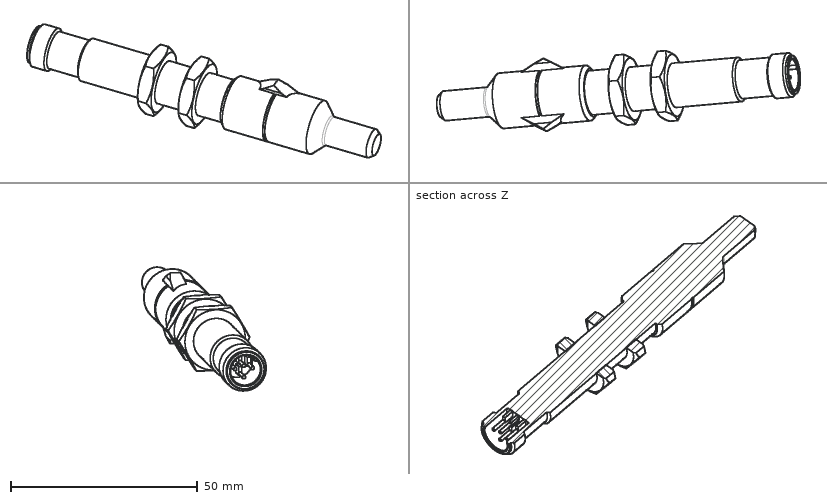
import cadquery as cq
import math

length = 100.5

barrel_radius = 12.0 / 2
neck_radius = 10.5 / 2
tip_radius = 10.2 / 2
edge_chamfer_length = 0.5
tip_length = 0.7
collar_end = 5.4
neck_end = 15.5

sleeve_start = 57.5
sleeve_end = 83.1
sleeve_radius = 15.0 / 2
sleeve_chamfer = 1.0
groove_center = 70.7
groove_width = 0.6
groove_depth = 0.2

tail_radius = 8.0 / 2
tail_fillet = 0.8
tail_chamfer_length = 1.3
tail_end_radius = 3.0

cam_center = 70.0
cam_peak = 19.6 / 2
cam_slope = math.radians(30)
cam_foot = 6.0
cam_width = 4.0
cam_shoulder = 8.3
cam_ridge_inset = 0.6

socket_radius = 8.2 / 2
socket_depth = 9.0
socket_chamfer = 0.3
key_radius = 0.6
key_angle = math.radians(135)
pin_front = 1.9
pin_diameter = 0.9
pin_foot_height = 2.4
pin_foot_front = 6.0
pin_places = [(0, 1.6), (0, -1.6), (2.4, 0.8), (-2.4, 0.8)]

nut_across_flats = 17.0
nut_thickness = 4.0
nut_starts = [34.0, 45.9]
nut_face_radius = 16.7 / 2
nut_chamfer_slope = math.radians(30)


def turned_body():
    cone_length = sleeve_radius - tail_radius
    groove_start = groove_center - groove_width / 2
    groove_end = groove_center + groove_width / 2
    profile = [
        (0, 0),
        (0, tip_radius),
        (neck_radius - tip_radius, neck_radius),
        (tip_length, neck_radius),
        (tip_length + edge_chamfer_length, barrel_radius),
        (collar_end, barrel_radius),
        (collar_end + edge_chamfer_length, neck_radius),
        (neck_end - edge_chamfer_length, neck_radius),
        (neck_end, barrel_radius),
        (sleeve_start, barrel_radius),
        (sleeve_start, sleeve_radius - sleeve_chamfer),
        (sleeve_start + sleeve_chamfer, sleeve_radius),
        (groove_start, sleeve_radius),
        (groove_start, sleeve_radius - groove_depth),
        (groove_end, sleeve_radius - groove_depth),
        (groove_end, sleeve_radius),
        (sleeve_end, sleeve_radius),
        (sleeve_end + cone_length, tail_radius),
        (length - tail_chamfer_length, tail_radius),
        (length, tail_end_radius),
        (length, 0),
    ]
    body = cq.Workplane("XY").polyline(profile).close().revolve(360, (0, 0), (1, 0))
    cone_foot = cq.selectors.NearestToPointSelector((sleeve_end + cone_length, 0, 0))
    return body.edges("%CIRCLE").edges(cone_foot).fillet(tail_fillet)


def cam():
    """Roof-shaped cam on +Z whose two side walls lean in above the shoulder."""
    half_length = (cam_peak - cam_foot) / math.tan(cam_slope)
    roof = (
        cq.Workplane("XZ")
        .polyline([
            (cam_center - half_length, cam_foot),
            (cam_center, cam_peak),
            (cam_center + half_length, cam_foot),
        ])
        .close()
        .extrude(-cam_width)
    )
    side_walls = (
        cq.Workplane("YZ", origin=(cam_center - half_length, 0, 0))
        .polyline([
            (0, cam_foot),
            (0, cam_shoulder),
            (cam_ridge_inset, cam_peak),
            (cam_width - cam_ridge_inset, cam_peak),
            (cam_width, cam_shoulder),
            (cam_width, cam_foot),
        ])
        .close()
        .extrude(2 * half_length)
    )
    return roof.intersect(side_walls)


def socket():
    """Round socket space with a chamfered mouth and a key rib left standing on its wall."""
    profile = [
        (0, 0),
        (0, socket_radius + socket_chamfer),
        (socket_chamfer, socket_radius),
        (socket_depth, socket_radius),
        (socket_depth, 0),
    ]
    bore = cq.Workplane("XY").polyline(profile).close().revolve(360, (0, 0), (1, 0))
    key_y = socket_radius * math.cos(key_angle)
    key_z = socket_radius * math.sin(key_angle)
    key = (
        cq.Workplane("YZ", origin=(socket_chamfer, key_y, key_z))
        .circle(key_radius)
        .extrude(socket_depth - socket_chamfer)
    )
    return bore.cut(key)


def make_housing():
    top_cam = cam()
    bottom_cam = top_cam.mirror("XY")
    return turned_body().union(top_cam).union(bottom_cam).cut(socket())


def make_nut(start):
    """Hexagon nut with corners on +Y and -Y, both faces chamfered."""
    corner_radius = nut_across_flats / math.sqrt(3)
    chamfer_length = (corner_radius - nut_face_radius) * math.tan(nut_chamfer_slope)
    hexagon = (
        cq.Workplane("YZ", origin=(start, 0, 0))
        .polygon(6, 2 * corner_radius)
        .circle(barrel_radius)
        .extrude(nut_thickness)
    )
    end = start + nut_thickness
    envelope = (
        cq.Workplane("XY")
        .polyline([
            (start, 0),
            (start, nut_face_radius),
            (start + chamfer_length, corner_radius),
            (end - chamfer_length, corner_radius),
            (end, nut_face_radius),
            (end, 0),
        ])
        .close()
        .revolve(360, (0, 0), (1, 0))
    )
    return hexagon.intersect(envelope)


def make_pin(y, z):
    """Round pin that runs forward from the lower end of a flat upright foot."""
    rod_z = z - (pin_foot_height - pin_diameter) / 2
    foot = (
        cq.Workplane("YZ", origin=(pin_foot_front, y, z))
        .rect(pin_diameter, pin_foot_height)
        .extrude(socket_depth - pin_foot_front)
    )
    rod = (
        cq.Workplane("YZ", origin=(pin_front, y, rod_z))
        .circle(pin_diameter / 2)
        .extrude(pin_foot_front - pin_front)
    )
    return foot.union(rod)


housing = make_housing()
nuts = [make_nut(start) for start in nut_starts]
pins = [make_pin(y, z) for y, z in pin_places]

result = cq.Compound.makeCompound([
    housing.val(),
    *[nut.val() for nut in nuts],
    *[pin.val() for pin in pins],
])